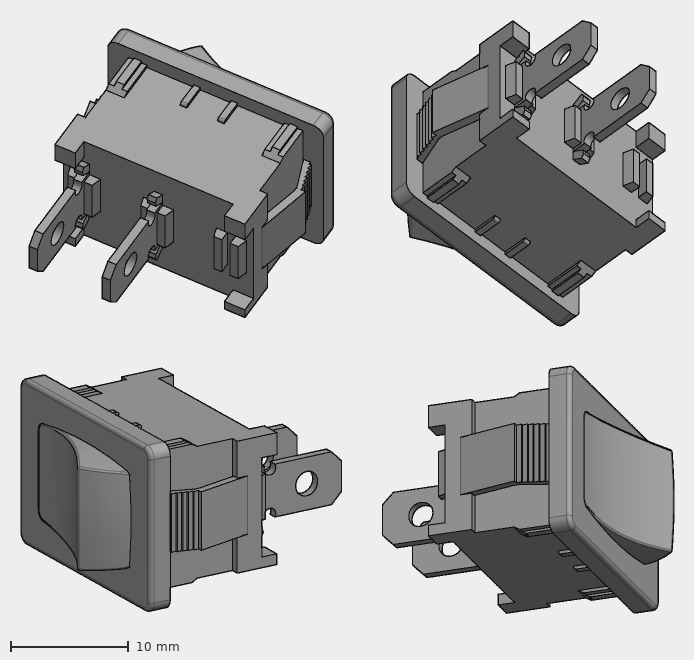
import cadquery as cq
import math


BEZEL_WIDTH = 21.0
BEZEL_HEIGHT = 15.0
BEZEL_THICKNESS = 2.02
BEZEL_CORNER_RADIUS = 1.0
BEZEL_EDGE_RADIUS = 0.4

BODY_WIDTH = 16.98
BODY_HEIGHT = 11.95
BODY_DEPTH = 9.95
BASE_WIDTH = 18.5
BASE_START = 7.48
FOOT_WIDTH = 2.0
FOOT_LENGTH = 1.5
TOP_FOOT_HEIGHT = 2.0
BOTTOM_FOOT_HEIGHT = 0.98

CORNER_RIB_WIDTH = 1.8
CORNER_RIB_HEIGHT = 0.3
CORNER_RIB_LENGTH = 3.94
CORNER_RIDGE_WIDTH = 0.76
CORNER_RIDGE_HEIGHT = 0.52
CORNER_RIB_END_ANGLE = 30
MIDDLE_RIB_WIDTH = 0.65
MIDDLE_RIB_HEIGHT = 0.3
MIDDLE_RIB_LENGTH = 2.36
MIDDLE_RIB_OFFSET = 1.82
RIB_END_RADIUS = 0.27

CLIP_HEIGHT = 5.3
CLIP_TOOTH_COUNT = 6
CLIP_TOOTHED_LENGTH = 2.88
CLIP_TOOTH_PITCH = CLIP_TOOTHED_LENGTH / CLIP_TOOTH_COUNT
CLIP_TOOTH_DEPTH = 0.22
CLIP_FIRST_TOOTH_X = 9.23
CLIP_FIRST_TOOTH_Y = 0.22
CLIP_TOOTH_SPREAD = 0.135
CLIP_INNER_TOP_X = 8.55
CLIP_BEND_X = 9.6
CLIP_BEND_START = 3.0
CLIP_BEND_END = 3.52
CLIP_INNER_BASE_X = 8.69
CLIP_OUTER_BASE_Y = 8.52

TERMINAL_PITCH = 7.1
TERMINAL_THICKNESS = 0.8
TERMINAL_HEIGHT = 4.8
TERMINAL_LENGTH = 9.08
TERMINAL_TIP_CHAMFER = 1.0
TERMINAL_HOLE_DIAMETER = 2.2
TERMINAL_HOLE_FROM_TIP = 3.5
NOTCH_RADIUS = 0.6
NOTCH_DISTANCE = 1.9
NOTCH_INSET = 0.3
GUIDE_LENGTH = 0.95
GUIDE_HEIGHT = 4.09
GUIDE_ROOT_REACH = 1.48
GUIDE_TIP_REACH = 1.18

EAR_ANGLE = 30
EAR_WIDTH = 0.85
EAR_LENGTH = 1.67
EAR_NOTCH_ALONG = 1.92
EAR_NOTCH_ACROSS = -0.17

ROCKER_HALF_LENGTH = 7.43
ROCKER_HALF_WIDTH = 4.92
ROCKER_SIDE_RADIUS = 45.04
ROCKER_CORNER_RADIUS = 0.84
ROCKER_END_BULGE_RADIUS = 35.68
ROCKER_END_MID = (-6.28, 1.95)
ROCKER_END_TOP = (-3.94, 4.09)
ROCKER_DISH_RADIUS = 20.67
ROCKER_DISH_CENTRE_X = 7.06
ROCKER_EDGE_RADIUS = 0.17

SIDES = (-1, 1)
FITTED_PLACES = (-TERMINAL_PITCH, 0)
TERMINAL_PLACES = (*FITTED_PLACES, TERMINAL_PITCH)


def block(x_range, y_range, z_range):
    """Box between two limits on each axis."""
    lows, highs = zip(x_range, y_range, z_range)
    sizes = [high - low for low, high in zip(lows, highs)]
    return cq.Workplane("XY").box(*sizes, centered=False).translate(lows)


def plate_across_x(outline, centre_x, thickness):
    """Plate with a (y, z) outline, centred on centre_x."""
    start = centre_x - thickness / 2
    return cq.Workplane("YZ").workplane(offset=start).polyline(outline).close().extrude(thickness)


def plate_across_z(outline, height):
    """Plate with an (x, y) outline, centred on z = 0."""
    return cq.Workplane("XY").polyline(outline).close().extrude(height / 2, both=True)


def make_bezel():
    bezel = block(
        (-BEZEL_WIDTH / 2, BEZEL_WIDTH / 2),
        (0, BEZEL_THICKNESS),
        (-BEZEL_HEIGHT / 2, BEZEL_HEIGHT / 2),
    )
    bezel = bezel.edges("|Y").fillet(BEZEL_CORNER_RADIUS)
    return bezel.faces(">Y").edges().fillet(BEZEL_EDGE_RADIUS)


def make_body():
    """Narrow body, wider base and the four feet on the base's corners."""
    z_range = (-BODY_HEIGHT / 2, BODY_HEIGHT / 2)
    body = block((-BODY_WIDTH / 2, BODY_WIDTH / 2), (-BODY_DEPTH, 0), z_range)
    base = block((-BASE_WIDTH / 2, BASE_WIDTH / 2), (-BODY_DEPTH, -BASE_START), z_range)
    body = body.union(base)
    foot_y = (-BODY_DEPTH - FOOT_LENGTH, -BODY_DEPTH)
    for side in SIDES:
        foot_x = sorted((side * BASE_WIDTH / 2, side * (BASE_WIDTH / 2 - FOOT_WIDTH)))
        body = body.union(block(foot_x, foot_y, (z_range[1] - TOP_FOOT_HEIGHT, z_range[1])))
        body = body.union(block(foot_x, foot_y, (z_range[0], z_range[0] + BOTTOM_FOOT_HEIGHT)))
    return body


def corner_rib(centre_x):
    """Stepped rib on top of the body, with one sloped end."""
    rib = None
    for width, height in (
        (CORNER_RIB_WIDTH, CORNER_RIB_HEIGHT),
        (CORNER_RIDGE_WIDTH, CORNER_RIDGE_HEIGHT),
    ):
        slope_length = height / math.tan(math.radians(CORNER_RIB_END_ANGLE))
        foot_z = BODY_HEIGHT / 2
        top_z = foot_z + height
        outline = [
            (0, foot_z),
            (0, top_z),
            (-CORNER_RIB_LENGTH + slope_length, top_z),
            (-CORNER_RIB_LENGTH, foot_z),
        ]
        layer = plate_across_x(outline, centre_x, width)
        rib = layer if rib is None else rib.union(layer)
    return rib


def middle_rib(centre_x):
    """Plain rib on top of the body, with one rounded end."""
    rib = block(
        (centre_x - MIDDLE_RIB_WIDTH / 2, centre_x + MIDDLE_RIB_WIDTH / 2),
        (-MIDDLE_RIB_LENGTH, 0),
        (BODY_HEIGHT / 2, BODY_HEIGHT / 2 + MIDDLE_RIB_HEIGHT),
    )
    return rib.faces("<Y").edges(">Z").fillet(RIB_END_RADIUS)


def add_body_ribs(housing):
    corner_rib_x = (BODY_WIDTH - CORNER_RIB_WIDTH) / 2
    for side in SIDES:
        for rib in (corner_rib(side * corner_rib_x), middle_rib(side * MIDDLE_RIB_OFFSET)):
            housing = housing.union(rib).union(rib.mirror("XY"))
    return housing


def make_clip():
    """Right-hand spring clip: a toothed arm leaving the bezel and a straight arm back to the base."""
    outline = [(CLIP_INNER_TOP_X, 0), (CLIP_FIRST_TOOTH_X, 0)]
    for tooth in range(CLIP_TOOTH_COUNT):
        root_x = CLIP_FIRST_TOOTH_X + tooth * CLIP_TOOTH_SPREAD
        y = -CLIP_FIRST_TOOTH_Y - tooth * CLIP_TOOTH_PITCH
        outline += [(root_x, y), (root_x + CLIP_TOOTH_DEPTH, y)]
    last_y = -CLIP_FIRST_TOOTH_Y - CLIP_TOOTHED_LENGTH
    outline += [
        (CLIP_FIRST_TOOTH_X + CLIP_TOOTH_COUNT * CLIP_TOOTH_SPREAD, last_y),
        (BEZEL_WIDTH / 2, last_y),
        (BASE_WIDTH / 2, -CLIP_OUTER_BASE_Y),
        (CLIP_INNER_BASE_X, -CLIP_OUTER_BASE_Y),
        (CLIP_INNER_BASE_X, -BASE_START),
        (CLIP_BEND_X, -CLIP_BEND_END),
        (CLIP_BEND_X, -CLIP_BEND_START),
    ]
    return plate_across_z(outline, CLIP_HEIGHT)


def make_guide_pair(centre_x):
    """Two ribs on the body's back face with a terminal-wide gap between them."""
    back_y = -BODY_DEPTH
    tip_y = back_y - GUIDE_LENGTH
    gap = TERMINAL_THICKNESS / 2
    outline = [(gap, back_y), (GUIDE_ROOT_REACH, back_y), (GUIDE_TIP_REACH, tip_y), (gap, tip_y)]
    guide = plate_across_z(outline, GUIDE_HEIGHT)
    return guide.union(guide.mirror("YZ")).translate((centre_x, 0, 0))


def make_housing(rocker_seat):
    housing = add_body_ribs(make_bezel().union(make_body()))
    clip = make_clip()
    housing = housing.union(clip).union(clip.mirror("YZ"))
    for place in TERMINAL_PLACES:
        housing = housing.union(make_guide_pair(place))
    return housing.cut(rocker_seat)


def make_rocker_blank():
    """Rocker before its top is dished, with bulged sides and a bulged left end."""
    side_drop = ROCKER_SIDE_RADIUS - math.sqrt(ROCKER_SIDE_RADIUS**2 - ROCKER_HALF_LENGTH**2)
    corner_z = ROCKER_HALF_WIDTH - side_drop
    full_height = BEZEL_THICKNESS + ROCKER_END_TOP[1]
    blank = (
        cq.Workplane("XZ")
        .moveTo(-ROCKER_HALF_LENGTH, corner_z)
        .threePointArc((0, ROCKER_HALF_WIDTH), (ROCKER_HALF_LENGTH, corner_z))
        .lineTo(ROCKER_HALF_LENGTH, -corner_z)
        .threePointArc((0, -ROCKER_HALF_WIDTH), (-ROCKER_HALF_LENGTH, -corner_z))
        .close()
        .extrude(-full_height)
        .edges("|Y")
        .fillet(ROCKER_CORNER_RADIUS)
    )

    axis_x = ROCKER_END_BULGE_RADIUS - ROCKER_HALF_LENGTH
    end_mid = (ROCKER_END_MID[0], BEZEL_THICKNESS + ROCKER_END_MID[1])
    end_top = (ROCKER_END_TOP[0], full_height)
    bulge = (
        cq.Workplane("XY")
        .moveTo(axis_x, 0)
        .lineTo(-ROCKER_HALF_LENGTH, 0)
        .lineTo(-ROCKER_HALF_LENGTH, BEZEL_THICKNESS)
        .threePointArc(end_mid, end_top)
        .lineTo(axis_x, full_height)
        .close()
        .revolve(360, (axis_x, 0, 0), (axis_x, 1, 0))
    )
    return blank.intersect(bulge)


def make_rocker(blank):
    """Rocker with a dished top that meets the bezel's front at the pressed right end."""
    dish = (
        cq.Workplane("XY")
        .center(ROCKER_DISH_CENTRE_X, BEZEL_THICKNESS + ROCKER_DISH_RADIUS)
        .circle(ROCKER_DISH_RADIUS)
        .extrude(BEZEL_HEIGHT, both=True)
    )
    return blank.cut(dish).edges("%BSPLINE").fillet(ROCKER_EDGE_RADIUS)


def make_terminal(centre_x):
    """Blade with a chamfered tip, a round hole and a notch in each long edge."""
    half_height = TERMINAL_HEIGHT / 2
    tip_y = -BODY_DEPTH - TERMINAL_LENGTH
    blade = block(
        (centre_x - TERMINAL_THICKNESS / 2, centre_x + TERMINAL_THICKNESS / 2),
        (tip_y, -BODY_DEPTH),
        (-half_height, half_height),
    )
    blade = blade.faces("<Y").edges("|X").chamfer(TERMINAL_TIP_CHAMFER)
    notch_y = -BODY_DEPTH - NOTCH_DISTANCE
    notch_z = half_height - NOTCH_INSET
    cutters = (
        cq.Workplane("YZ")
        .workplane(offset=centre_x - TERMINAL_THICKNESS)
        .pushPoints([(notch_y, notch_z), (notch_y, -notch_z)])
        .circle(NOTCH_RADIUS)
        .pushPoints([(tip_y + TERMINAL_HOLE_FROM_TIP, 0)])
        .circle(TERMINAL_HOLE_DIAMETER / 2)
        .extrude(2 * TERMINAL_THICKNESS)
    )
    return blade.cut(cutters)


def ear_point(along, across):
    """(y, z) of a point measured along and across the upper ear from its root corner."""
    angle = math.radians(EAR_ANGLE)
    y = -BODY_DEPTH - along * math.cos(angle) + across * math.sin(angle)
    z = TERMINAL_HEIGHT / 2 + along * math.sin(angle) + across * math.cos(angle)
    return (y, z)


def make_ear(centre_x, side):
    """Bent ear above (side 1) or below (side -1) a terminal, with a round bite out of its tip."""
    root_height = EAR_WIDTH / math.cos(math.radians(EAR_ANGLE))
    outline = [
        ear_point(0, 0),
        ear_point(EAR_LENGTH, 0),
        ear_point(EAR_LENGTH, EAR_WIDTH),
        (-BODY_DEPTH, TERMINAL_HEIGHT / 2 + root_height),
    ]
    ear = plate_across_x(outline, centre_x, TERMINAL_THICKNESS)
    bite = (
        cq.Workplane("YZ")
        .workplane(offset=centre_x - TERMINAL_THICKNESS)
        .center(*ear_point(EAR_NOTCH_ALONG, EAR_NOTCH_ACROSS))
        .circle(NOTCH_RADIUS)
        .extrude(2 * TERMINAL_THICKNESS)
    )
    ear = ear.cut(bite)
    return ear if side > 0 else ear.mirror("XY")


rocker_blank = make_rocker_blank()
rocker = make_rocker(rocker_blank)
housing = make_housing(rocker_blank)
terminals = [make_terminal(place) for place in FITTED_PLACES]
ears = [make_ear(place, side) for place in FITTED_PLACES for side in SIDES]

result = cq.Compound.makeCompound(
    [housing.val(), rocker.val()]
    + [terminal.val() for terminal in terminals]
    + [ear.val() for ear in ears]
)